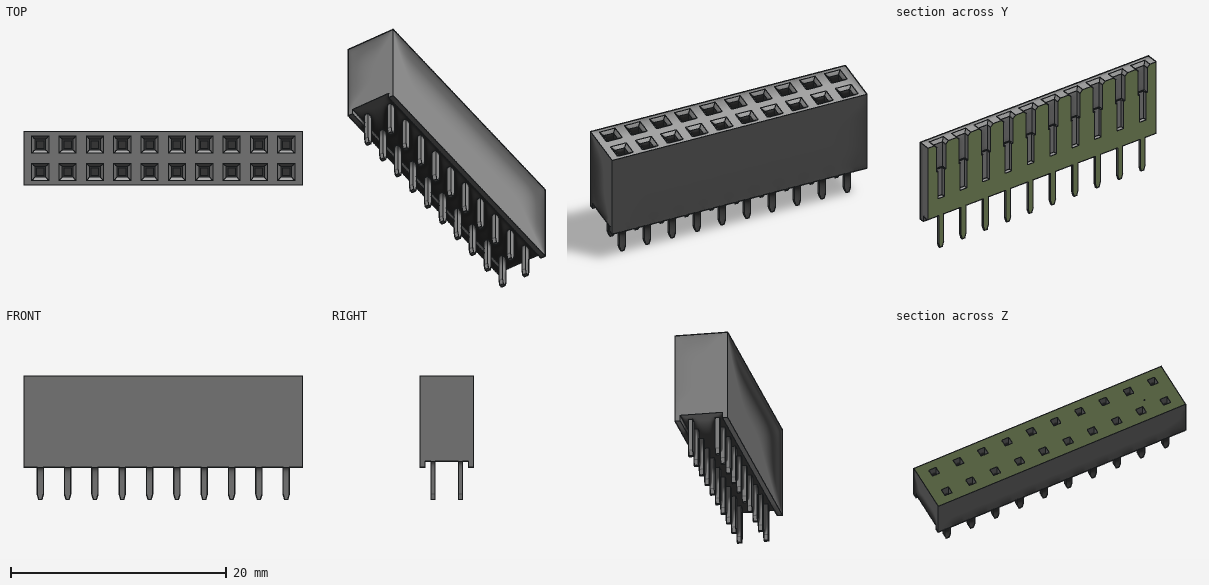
import cadquery as cq

columns = 10
rows = 2
pitch = 2.54

housing_length = 25.9
housing_width = 5.0
housing_height = 8.5

rail_width = 0.5
channel_depth = 0.55
channel_width = housing_width - 2 * rail_width

mouth_size = 1.6
throat_size = 1.0
lead_in_depth = (mouth_size - throat_size) / 2
throat_depth = 3.0
hole_size = 0.7
hole_depth = 6.0

pin_width = 0.6
pin_thickness = 0.4
pin_projection = 3.0
tip_width = 0.3
tip_height = 0.5


def at_contacts(shape):
    """Return copies of a shape placed on every contact axis."""
    return (
        cq.Workplane("XY")
        .rarray(pitch, pitch, columns, rows)
        .eachpoint(lambda location: shape.val().moved(location))
    )


def make_housing():
    """Return the plain block with the channel cut along its underside."""
    block = cq.Workplane("XY").box(
        housing_length, housing_width, housing_height, centered=(True, True, False)
    )
    channel = cq.Workplane("XY").box(
        housing_length, channel_width, channel_depth, centered=(True, True, False)
    )
    return block.cut(channel)


def square_bore(size, depth):
    """Return a square prism reaching down from the housing top by the given depth."""
    return cq.Workplane("XY", origin=(0, 0, housing_height)).rect(size, size).extrude(-depth)


def make_socket():
    """Return the stepped cavity of one socket."""
    lead_in = (
        cq.Workplane("XY", origin=(0, 0, housing_height))
        .rect(mouth_size, mouth_size)
        .workplane(offset=-lead_in_depth)
        .rect(throat_size, throat_size)
        .loft(ruled=True)
    )
    return lead_in.union(square_bore(throat_size, throat_depth)).union(square_bore(hole_size, hole_depth))


def make_pin():
    """Return one pin, hanging from the channel ceiling."""
    shoulder_z = tip_height - pin_projection
    outline = [
        (-pin_width / 2, channel_depth),
        (-pin_width / 2, shoulder_z),
        (-tip_width / 2, -pin_projection),
        (tip_width / 2, -pin_projection),
        (pin_width / 2, shoulder_z),
        (pin_width / 2, channel_depth),
    ]
    return cq.Workplane("XZ").polyline(outline).close().extrude(pin_thickness / 2, both=True)


result = make_housing().cut(at_contacts(make_socket())).union(at_contacts(make_pin()))